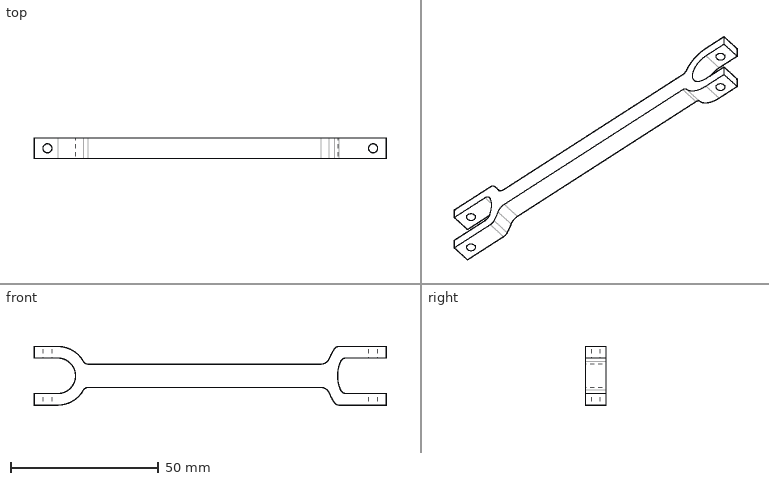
import cadquery as cq
import math

LENGTH = 119.5
WIDTH = 7.0
HEIGHT = 20.0

BAR_HEIGHT = 8.0
ARM_THICKNESS = 4.0
HOLE_DIAMETER = 3.0
HOLE_INSET = 4.5

ROUND_ARM_LENGTH = 8.0
ROUND_NECK_RADIUS = 1.75

SHOULDER_RADIUS = 16.0
SHOULDER_NECK_RADIUS = 3.0
SHOULDER_CORNER_RADIUS = 2.0
FLOOR_RADIUS = 12.0
FLOOR_CORNER_RADIUS = 2.0

LEFT_END = -LENGTH / 2
RIGHT_END = LENGTH / 2
HALF_HEIGHT = HEIGHT / 2
HALF_BAR = BAR_HEIGHT / 2
HALF_SLOT = HALF_HEIGHT - ARM_THICKNESS
ROUND_CENTER = LEFT_END + ROUND_ARM_LENGTH
LEFT_HOLE = LEFT_END + HOLE_INSET
RIGHT_HOLE = RIGHT_END - HOLE_INSET


def side_outline():
    """Workplane for XZ outlines; a positive extrusion of WIDTH spans the part in Y."""
    return cq.Workplane("XZ", origin=(0, WIDTH / 2, 0))


def bar_block(start, end, half_height):
    """Rectangular block from X = start to X = end, centred on Y = 0 and Z = 0."""
    outline = side_outline().moveTo((start + end) / 2, 0).rect(end - start, 2 * half_height)
    return outline.extrude(WIDTH)


def disc(center, radius):
    """Cylinder along Y with its axis at X = center, Z = 0."""
    return side_outline().moveTo(center, 0).circle(radius).extrude(WIDTH)


def round_edges_at(body, x, z, radius):
    """Fillet the two edges along Y at the given X and at Z = +z and -z."""
    reach = 0.01
    for side in (1, -1):
        corner = (x - reach, -WIDTH, side * z - reach)
        opposite = (x + reach, WIDTH, side * z + reach)
        body = body.edges("|Y").edges(cq.selectors.BoxSelector(corner, opposite)).fillet(radius)
    return body


def arc_run(radius, z):
    """X distance from the centre of a circle to its point at height z."""
    return math.sqrt(radius**2 - z**2)


def make_body():
    """Bar with a solid head at each end, with the necks and shoulders rounded."""
    round_head = bar_block(LEFT_END, ROUND_CENTER, HALF_HEIGHT).union(disc(ROUND_CENTER, HALF_HEIGHT))
    round_head = round_head.intersect(bar_block(LEFT_END, RIGHT_END, HALF_HEIGHT))
    shoulder_reach = RIGHT_HOLE - SHOULDER_RADIUS
    shoulder_head = bar_block(shoulder_reach, RIGHT_END, HALF_HEIGHT)
    shoulder_head = shoulder_head.intersect(disc(RIGHT_HOLE, SHOULDER_RADIUS))
    bar = bar_block(ROUND_CENTER, RIGHT_HOLE, HALF_BAR)
    body = round_head.union(bar).union(shoulder_head)

    round_neck = ROUND_CENTER + arc_run(HALF_HEIGHT, HALF_BAR)
    shoulder_neck = RIGHT_HOLE - arc_run(SHOULDER_RADIUS, HALF_BAR)
    shoulder_corner = RIGHT_HOLE - arc_run(SHOULDER_RADIUS, HALF_HEIGHT)
    body = round_edges_at(body, round_neck, HALF_BAR, ROUND_NECK_RADIUS)
    body = round_edges_at(body, shoulder_neck, HALF_BAR, SHOULDER_NECK_RADIUS)
    return round_edges_at(body, shoulder_corner, HALF_HEIGHT, SHOULDER_CORNER_RADIUS)


def make_round_slot():
    """Open slot with a half-round end, concentric with the round head."""
    return bar_block(LEFT_END, ROUND_CENTER, HALF_SLOT).union(disc(ROUND_CENTER, HALF_SLOT))


def make_shoulder_slot():
    """Open slot with a shallow curved floor and rounded floor corners."""
    slot = bar_block(RIGHT_HOLE - FLOOR_RADIUS, RIGHT_END, HALF_SLOT)
    slot = slot.intersect(disc(RIGHT_HOLE, FLOOR_RADIUS))
    floor_corner = RIGHT_HOLE - arc_run(FLOOR_RADIUS, HALF_SLOT)
    return round_edges_at(slot, floor_corner, HALF_SLOT, FLOOR_CORNER_RADIUS)


def make_arm_holes():
    """Through holes along Z near both ends, passing through both arms of each fork."""
    return (
        cq.Workplane("XY", origin=(0, 0, -HALF_HEIGHT))
        .pushPoints([(LEFT_HOLE, 0), (RIGHT_HOLE, 0)])
        .circle(HOLE_DIAMETER / 2)
        .extrude(HEIGHT)
    )


result = make_body().cut(make_round_slot()).cut(make_shoulder_slot()).cut(make_arm_holes())